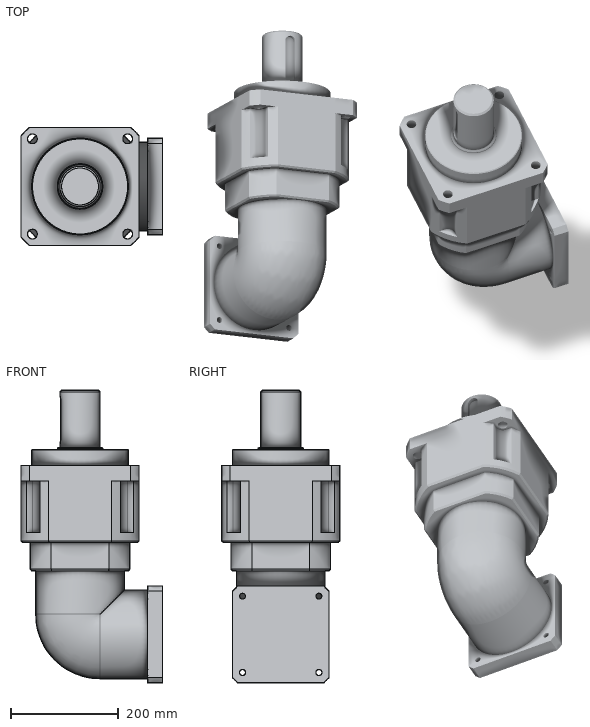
import cadquery as cq
import math


total_height = 544.0
pilot_top = 434.0
collar_height = 3.0
flange_top = 404.5
flange_thickness = 29.5
body_bottom = 260.5
adapter_bottom = 208.0

shaft_diameter = 75.0
shaft_chamfer = 3.0
key_width = 20.0
key_length = 90.0
key_depth = 7.5
key_end_gap = 10.0

collar_diameter = 85.0
pilot_diameter = 180.0
upper_edge_chamfer = 1.5

body_size = 220.0
flange_corner_diameter = 289.5
bolt_circle_diameter = 250.5
bolt_hole_diameter = 18.0
body_corner_diameter = 249.0
pocket_radius = 13.5
pocket_floor = 279.5
lower_edge_chamfer = 3.0

adapter_size = 185.5
adapter_corner_diameter = 214.5

elbow_diameter = 165.5
bend_radius = 37.5

motor_face_x = 153.5
motor_flange_size = 180.0
motor_flange_thickness = 28.0
motor_flange_corner = 10.0
motor_hole_spacing = 142.0
motor_hole_diameter = 11.0

flange_bottom = flange_top - flange_thickness
bolt_offset = bolt_circle_diameter / 2 / math.sqrt(2)
elbow_radius = elbow_diameter / 2
input_axis_z = motor_flange_size / 2
bend_z = input_axis_z + bend_radius
motor_flange_back = motor_face_x - motor_flange_thickness


def disc(diameter, bottom, top):
    """Cylinder on the output axis."""
    return cq.Workplane("XY").workplane(offset=bottom).circle(diameter / 2).extrude(top - bottom)


def square_prism(size, bottom, top):
    """Square prism centred on the output axis."""
    return cq.Workplane("XY").workplane(offset=bottom).rect(size, size).extrude(top - bottom)


def round_cornered_block(size, corner_diameter, bottom, top):
    """Square block whose corners lie on a cylinder, with a chamfered lower edge."""
    block = square_prism(size, bottom, top).intersect(disc(corner_diameter, bottom, top))
    return block.faces("<Z").chamfer(lower_edge_chamfer)


def output_shaft():
    shaft = disc(shaft_diameter, flange_top, total_height).faces(">Z").chamfer(shaft_chamfer)
    key_slot = (
        cq.Workplane("YZ")
        .workplane(offset=-shaft_diameter / 2)
        .center(0, total_height - key_end_gap - key_length / 2)
        .slot2D(key_length, key_width, 90)
        .extrude(key_depth)
    )
    return shaft.cut(key_slot)


def pilot_and_collar():
    pilot = disc(pilot_diameter, flange_top, pilot_top).faces(">Z").chamfer(upper_edge_chamfer)
    collar = disc(collar_diameter, flange_top, pilot_top + collar_height)
    return pilot.union(collar.faces(">Z").chamfer(upper_edge_chamfer))


def output_flange():
    plate = square_prism(body_size, flange_bottom, flange_top)
    return plate.intersect(disc(flange_corner_diameter, flange_bottom, flange_top))


def bolt_clearance():
    """Bolt holes through the flange and the round-bottomed corner pockets below them."""
    bolt_pitch = 2 * bolt_offset
    holes = (
        cq.Workplane("XY")
        .workplane(offset=flange_bottom)
        .rect(bolt_pitch, bolt_pitch, forConstruction=True)
        .vertices()
        .circle(bolt_hole_diameter / 2)
        .extrude(flange_thickness)
    )
    pocket_inner = bolt_offset - pocket_radius
    pocket_size = body_size / 2 - pocket_inner
    pocket = (
        cq.Workplane("XY")
        .workplane(offset=pocket_floor)
        .center(pocket_inner, pocket_inner)
        .rect(pocket_size, pocket_size, centered=False)
        .extrude(flange_bottom - pocket_floor)
        .edges("|Z and <X and <Y")
        .fillet(pocket_radius)
    )
    clearance = holes
    for corner in range(4):
        clearance = clearance.union(pocket.rotate((0, 0, 0), (0, 0, 1), 90 * corner))
    return clearance


def elbow():
    """Two equal pipes meeting in a mitre inside and a torus bend outside."""
    output_pipe = disc(elbow_diameter, bend_z, adapter_bottom)
    input_pipe = (
        cq.Workplane("YZ")
        .workplane(offset=bend_radius)
        .center(0, input_axis_z)
        .circle(elbow_radius)
        .extrude(motor_flange_back - bend_radius)
    )
    cut_half_width = math.sqrt(elbow_radius**2 - bend_radius**2)
    bend = (
        cq.Workplane("XY")
        .workplane(offset=bend_z)
        .moveTo(bend_radius, -cut_half_width)
        .threePointArc((-elbow_radius, 0), (bend_radius, cut_half_width))
        .close()
        .revolve(90, (bend_radius, cut_half_width), (bend_radius, -cut_half_width))
    )
    return output_pipe.union(input_pipe).union(bend)


def motor_flange():
    plate = (
        cq.Workplane("YZ")
        .workplane(offset=motor_flange_back)
        .center(0, input_axis_z)
        .rect(motor_flange_size, motor_flange_size)
        .extrude(motor_flange_thickness)
        .edges("|X")
        .chamfer(motor_flange_corner)
    )
    return (
        plate.faces(">X")
        .workplane(centerOption="CenterOfBoundBox")
        .rect(motor_hole_spacing, motor_hole_spacing, forConstruction=True)
        .vertices()
        .hole(motor_hole_diameter)
    )


gear_body = round_cornered_block(body_size, body_corner_diameter, body_bottom, flange_bottom)
adapter = round_cornered_block(adapter_size, adapter_corner_diameter, adapter_bottom, body_bottom)

result = (
    gear_body.union(output_flange())
    .cut(bolt_clearance())
    .union(pilot_and_collar())
    .union(output_shaft())
    .union(adapter)
    .union(elbow())
    .union(motor_flange())
)